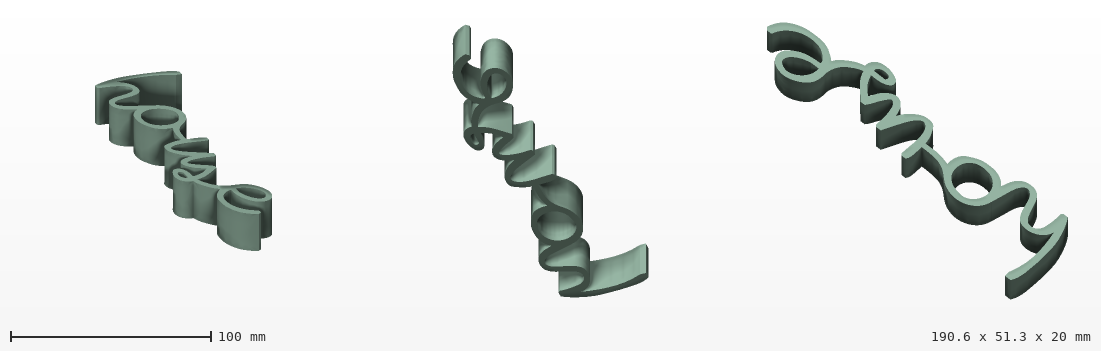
import cadquery as cq


LENGTH = 190.6
TOP = 51.3
HEIGHT = 20.0

CAP_LINE = 33.4
JOIN_LINE = 23.6
CROSSBAR_TOP = 23.0
H_FOOT = 5.3


def prism(start, stretches):
    """Extrude a closed outline made of stretches that meet at corners.

    Each stretch continues from the end of the one before: a single point is a
    straight line, several points are one smooth curve.
    """
    outline = cq.Workplane("XY").moveTo(*start)
    for points in stretches:
        if len(points) == 1:
            outline = outline.lineTo(*points[0])
        else:
            outline = outline.spline(points, includeCurrent=True)
    return outline.close().extrude(HEIGHT)


def oval_prism(points):
    """Extrude a smooth closed curve without corners."""
    return cq.Workplane("XY").spline(points, periodic=True).close().extrude(HEIGHT)


def letter_h():
    stem_top = (3.8, TOP)
    return prism(stem_top, [
        [(7.5, TOP)],
        [(7.5, 48.2)],
        [(6.0, 44.2), (4.4, 38.1), (3.8, 31.5), (4.2, 23.8), (5.3, 16.2)],
        [(7.0, 19.8), (11.0, 22.9), (17.2, 24.2), (22.0, 22.9), (24.5, 19.5), (26.7, 12.4),
         (28.5, 8.0), (31.5, 6.3), (34.7, 8.2), (37.2, 13.3), (39.0, 20.0), (40.2, JOIN_LINE)],
        [(44.0, JOIN_LINE)],
        [(44.5, 20.0), (42.3, 13.3), (41.0, 10.0), (38.1, 6.0), (35.3, 4.2), (31.5, 3.6), (27.6, 4.4),
         (24.8, 7.0), (22.9, 11.8), (21.0, 17.5), (19.0, 20.4), (15.8, 21.4), (12.0, 19.3), (10.3, 14.7),
         (9.7, 10.5), (9.7, 6.3)],
        [(8.8, H_FOOT)],
        [(5.7, H_FOOT)],
        [(4.4, 7.6), (2.0, 14.0), (0.4, 20.4), (0.0, 28.0), (0.8, 42.0), (2.5, 49.0), stem_top],
    ])


def letter_o():
    left_side = (40.0, 21.0)
    ring_and_tail = prism(left_side, [
        [(40.8, 25.4), (43.5, 29.5), (48.2, 32.8), (54.3, 34.1), (60.6, 33.2), (65.4, 30.7), (70.5, 26.3),
         (75.3, 24.0), (80.0, 23.3), (86.7, 23.0)],
        [(89.6, 23.0)],
        [(89.6, 20.4)],
        [(84.8, 20.2), (78.2, 20.4), (74.0, 21.2), (71.1, 22.0)],
        [(70.7, 17.5), (68.8, 14.0), (64.8, 11.2), (60.0, 9.3), (54.3, 8.8), (47.7, 10.0), (42.9, 13.3),
         left_side],
    ])
    opening = oval_prism([
        (55.3, 30.7), (49.5, 29.5), (46.0, 25.7), (44.6, 21.0), (45.8, 16.8), (49.2, 13.3),
        (55.3, 11.8), (61.4, 13.0), (65.2, 16.5), (66.3, 21.0), (65.4, 25.2), (61.0, 29.2),
    ])
    return ring_and_tail.cut(opening)


def letter_u():
    left_top = (89.0, CAP_LINE)
    middle_top = 29.4
    return prism(left_top, [
        [(91.5, CAP_LINE)],
        [(92.5, 32.5)],
        [(92.3, 29.0), (91.7, 23.8), (91.9, 17.2), (93.5, 13.2), (95.5, 11.6), (99.1, 13.3), (103.3, 19.0),
         (106.8, 25.4), (108.8, middle_top)],
        [(112.0, middle_top)],
        [(112.9, 28.2)],
        [(112.5, 22.9), (113.0, 17.2), (114.2, 14.0), (115.9, 12.5), (118.2, 14.3), (121.0, 18.5), (123.5, 22.5)],
        [(124.5, JOIN_LINE)],
        [(127.2, JOIN_LINE)],
        [(127.5, 21.0), (125.6, 17.5), (123.1, 13.5), (119.1, 10.3), (115.9, 9.3), (112.5, 10.3), (109.8, 13.7),
         (108.7, 18.3)],
        [(105.8, 14.3), (102.0, 11.0), (98.2, 9.2), (95.3, 8.8), (91.5, 9.5), (89.0, 13.0), (87.5, 17.2),
         (87.1, 22.9), (87.5, 29.5), (88.0, 32.0), left_top],
    ])


def letter_s():
    head = (123.5, 22.5)
    body = prism(head, [
        [(124.5, JOIN_LINE)],
        [(127.2, JOIN_LINE)],
        [(132.0, 18.7), (136.0, 13.7), (137.6, 9.5)],
        [(139.7, 10.1), (143.5, 12.0), (147.4, 14.9), (150.0, 19.0), (151.0, CROSSBAR_TOP)],
        [(154.6, CROSSBAR_TOP)],
        [(154.5, 19.0), (152.1, 13.7), (148.7, 10.9), (144.5, 8.4), (139.2, 6.7)],
        [(138.5, 4.0), (136.9, 1.7), (130.8, 0.0), (124.0, 1.5), (121.5, 3.5), (121.2, 5.5),
         (124.5, 8.0), (128.7, 8.8), (133.3, 8.8)],
        [(131.5, 13.0), (129.2, 16.2), (126.2, 18.9), head],
    ])
    eye_top = 6.0
    eye_left = (127.7, eye_top)
    eye = prism(eye_left, [
        [(133.8, eye_top)],
        [(133.5, 4.2), (131.5, 3.0), (127.7, 2.9), (125.8, 3.8), (125.8, 5.1), eye_left],
    ])
    return body.cut(eye)


def letter_e():
    left_side = (151.0, CROSSBAR_TOP)
    tip = (LENGTH, 22.0)
    body = prism(left_side, [
        [(151.2, 26.7), (152.9, 31.0), (156.7, 34.5), (161.0, 36.6), (165.8, 37.5), (170.6, 36.8), (174.8, 34.3),
         (176.3, 30.5), (175.4, 27.0), (172.1, 24.0), (168.3, 22.0), (163.0, 20.5), (156.7, 20.2)],
        [(156.7, 19.0)],
        [(158.6, 16.5), (162.0, 14.1), (168.7, 12.8), (175.4, 13.7), (180.1, 16.0), (184.0, 19.5), (186.0, 23.0)],
        [(186.8, JOIN_LINE)],
        [(189.1, JOIN_LINE)],
        [tip],
        [(188.7, 18.0), (185.7, 14.5), (181.1, 11.8), (175.4, 10.1), (168.7, 9.7), (162.0, 10.5), (156.7, 13.2),
         (153.0, 16.2), (151.4, 19.5), left_side],
    ])
    eye_corner = (155.5, CROSSBAR_TOP)
    eye = prism(eye_corner, [
        [(160.7, CROSSBAR_TOP)],
        [(164.9, 24.2), (169.3, 26.5), (171.8, 29.2), (172.1, 31.5), (170.0, 33.5), (165.8, 34.5), (161.7, 33.2),
         (158.2, 30.5), (156.1, 27.3), eye_corner],
    ])
    return body.cut(eye)


result = letter_h()
for letter in (letter_o(), letter_u(), letter_s(), letter_e()):
    result = result.union(letter)